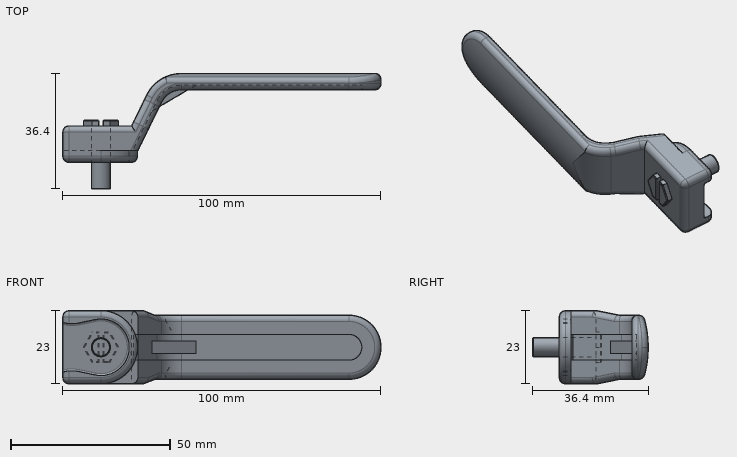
import cadquery as cq
import math


total_length = 100.0

hub_width = 23.0
hub_left = -12.0
hub_depth = 11.5
ledge_depth = 3.7
edge_radius = 2.0

recess_radius = 8.9
recess_depth = ledge_depth
recess_floor_radius = 0.6
neck_angle = 12.0
neck_x = -9.1
neck_half_width = 7.4
recess_overrun = 2.0

lever_width = 20.2
lever_thickness = 5.2
lever_back = 28.0
lever_front = lever_back - lever_thickness
tip_centre_x = total_length + hub_left - lever_width / 2
crown_radius = 33.0
side_edge_limit = 6.0
leg_angle = 64.0
bend_x = 25.3
bend_inner_radius = 7.0
bend_outer_radius = bend_inner_radius + lever_thickness
bend_y = lever_front - bend_inner_radius
narrow_station = 1.5
wide_station = 9.3

groove_width = 8.1
groove_depth = 1.5
gusset_width = 4.0
gusset_angle = 30.4
gusset_right = 29.9

shank_diameter = 6.0
shank_end = -8.4
head_sides = 6
head_flats = 9.6
head_height = 1.8
slot_width = 1.3
screw_chamfer = 0.3

leg_sin = math.sin(math.radians(leg_angle))
leg_cos = math.cos(math.radians(leg_angle))


def leg_point(station, depth):
    """Point on the leg: station runs down from the bend, depth runs in from the front face."""
    reach = bend_inner_radius + depth
    return (
        bend_x - reach * leg_sin - station * leg_cos,
        bend_y + reach * leg_cos - station * leg_sin,
    )


def leg_station(y, depth):
    """Station at which the leg reaches height y at the given depth below its front face."""
    return (leg_point(0, depth)[1] - y) / leg_sin


def bend_middle(radius):
    """Point halfway round the bend."""
    half_angle = math.radians(leg_angle / 2)
    return (bend_x - radius * math.sin(half_angle), bend_y + radius * math.cos(half_angle))


def crown_point(z):
    """(Y, Z) point on the crowned back of the lever."""
    return (lever_back - crown_radius + math.sqrt(crown_radius**2 - z**2), z)


def prism(outline, width):
    """Closed XY outline extruded symmetrically about Z = 0."""
    return outline.close().extrude(width / 2, both=True)


def front_prism(outline, depth):
    """Closed XZ outline extruded from Y = 0 towards +Y."""
    return outline.close().extrude(-depth)


def make_leg():
    """Straight leg whose sides taper from the hub width to the lever width."""
    front_foot = leg_station(ledge_depth, 0)
    back_foot = leg_station(ledge_depth, lever_thickness)
    leg = prism(
        cq.Workplane("XY").polyline(
            [
                leg_point(0, 0),
                leg_point(front_foot, 0),
                leg_point(back_foot, lever_thickness),
                leg_point(0, lever_thickness),
            ]
        ),
        hub_width,
    )
    origin = leg_point(0, 0)
    leg_plane = cq.Plane(
        origin=(origin[0], origin[1], 0),
        xDir=(-leg_cos, -leg_sin, 0),
        normal=(-leg_sin, leg_cos, 0),
    )
    narrow = lever_width / 2
    wide = hub_width / 2
    sides = (
        cq.Workplane(leg_plane)
        .polyline(
            [
                (0, -narrow),
                (narrow_station, -narrow),
                (wide_station, -wide),
                (back_foot, -wide),
                (back_foot, wide),
                (wide_station, wide),
                (narrow_station, narrow),
                (0, narrow),
            ]
        )
        .close()
        .extrude(lever_thickness)
    )
    return leg.intersect(sides)


def make_grip():
    """Bend and straight grip with a round tip."""
    tip_x = tip_centre_x + lever_width / 2
    grip = prism(
        cq.Workplane("XY")
        .moveTo(*leg_point(0, 0))
        .threePointArc(bend_middle(bend_inner_radius), (bend_x, lever_front))
        .lineTo(tip_x, lever_front)
        .lineTo(tip_x, lever_back)
        .lineTo(bend_x, lever_back)
        .threePointArc(bend_middle(bend_outer_radius), leg_point(0, lever_thickness)),
        lever_width,
    )
    half = lever_width / 2
    outline = front_prism(
        cq.Workplane("XZ")
        .moveTo(hub_left, -half)
        .lineTo(tip_centre_x, -half)
        .threePointArc((tip_x, 0), (tip_centre_x, half))
        .lineTo(hub_left, half),
        lever_back,
    )
    return grip.intersect(outline)


def is_side_edge(edge):
    """True for the edges along the +Z side of the lever and round that half of its tip."""
    on_foot = edge.BoundingBox().ymax < ledge_depth + edge_radius / 2
    through_thickness = False
    if edge.geomType() == "LINE" and edge.Center().x < bend_x:
        tangent = edge.tangentAt(0)
        across = abs(leg_cos * tangent.y - leg_sin * tangent.x)
        along = abs(leg_cos * tangent.x + leg_sin * tangent.y)
        through_thickness = across > along
    return edge.Center().z > side_edge_limit and not on_foot and not through_thickness


def make_lever():
    """Leg and grip with a crowned back and rounded sides, made as one half and mirrored."""
    half_width = hub_width / 2
    crowned_half = (
        cq.Workplane("YZ", origin=(hub_left, 0, 0))
        .lineTo(lever_back, 0)
        .threePointArc(crown_point(half_width / 2), crown_point(half_width))
        .lineTo(0, half_width)
        .close()
        .extrude(total_length)
    )
    half = make_leg().union(make_grip()).intersect(crowned_half)
    side_edges = [edge for edge in half.edges().vals() if is_side_edge(edge)]
    half = half.newObject(side_edges).fillet(edge_radius)
    return half.union(half.mirror("XY"))


def make_hub():
    """Box with a half-round front plate, rounded on its left, front and back edges."""
    half = hub_width / 2
    plate = front_prism(
        cq.Workplane("XZ")
        .moveTo(0, -half)
        .threePointArc((half, 0), (0, half))
        .lineTo(hub_left, half)
        .lineTo(hub_left, -half),
        ledge_depth,
    )
    inside_leg = lever_thickness / 2
    block = prism(
        cq.Workplane("XY").polyline(
            [
                (hub_left, ledge_depth),
                leg_point(leg_station(ledge_depth, inside_leg), inside_leg),
                leg_point(leg_station(hub_depth, inside_leg), inside_leg),
                (hub_left, hub_depth),
            ]
        ),
        hub_width,
    )
    hub = plate.union(block)
    rounded = hub.faces("<X or <Y").edges().add(hub.faces(">Y").edges("|X"))
    return rounded.fillet(edge_radius)


def make_recess():
    """Round recess with a necked mouth that opens through the left side of the hub."""
    slope_sin = math.sin(math.radians(neck_angle))
    slope_cos = math.cos(math.radians(neck_angle))
    flank_start = (-recess_radius * slope_sin, recess_radius * slope_cos)
    flank_at_neck = flank_start[1] - (flank_start[0] - neck_x) * slope_sin / slope_cos
    neck_radius = (neck_half_width - flank_at_neck) * slope_cos / (1 - slope_cos)
    neck_centre_z = neck_half_width + neck_radius
    flank_end = (neck_x + neck_radius * slope_sin, neck_centre_z - neck_radius * slope_cos)
    mouth_x = hub_left - recess_overrun
    mouth_z = neck_centre_z - math.sqrt(neck_radius**2 - (mouth_x - neck_x) ** 2)

    recess = front_prism(
        cq.Workplane("XZ")
        .moveTo(mouth_x, mouth_z)
        .threePointArc((neck_x, neck_half_width), flank_end)
        .lineTo(*flank_start)
        .threePointArc((recess_radius, 0), (flank_start[0], -flank_start[1]))
        .lineTo(flank_end[0], -flank_end[1])
        .threePointArc((neck_x, -neck_half_width), (mouth_x, -mouth_z)),
        recess_depth,
    )
    return recess.faces(">Y").edges("not |Z").fillet(recess_floor_radius)


def make_groove():
    """Round-ended groove of even depth that follows the front of the lever.

    Its lower end is square to the leg and meets the front face at the ledge.
    """
    foot = leg_station(ledge_depth, 0)
    tip_x = tip_centre_x + groove_width / 2
    groove_floor = lever_front + groove_depth
    floor_radius = bend_inner_radius + groove_depth
    band = prism(
        cq.Workplane("XY")
        .moveTo(*leg_point(foot, groove_depth))
        .lineTo(*leg_point(0, groove_depth))
        .threePointArc(bend_middle(floor_radius), (bend_x, groove_floor))
        .lineTo(tip_x, groove_floor)
        .lineTo(tip_x, lever_front)
        .lineTo(bend_x, lever_front)
        .threePointArc(bend_middle(bend_inner_radius), leg_point(0, 0))
        .lineTo(*leg_point(foot, 0)),
        groove_width,
    )
    half = groove_width / 2
    outline = front_prism(
        cq.Workplane("XZ")
        .moveTo(0, -half)
        .lineTo(tip_centre_x, -half)
        .threePointArc((tip_x, 0), (tip_centre_x, half))
        .lineTo(0, half),
        lever_back,
    )
    return band.intersect(outline)


def make_gusset():
    """Web across the inside of the bend, standing on the groove floor."""
    rise = math.tan(math.radians(gusset_angle))
    right = (gusset_right, lever_front + groove_depth)
    corner = leg_point(0, groove_depth)
    drop = right[1] - corner[1] - rise * (right[0] - corner[0])
    foot_station = -drop / (leg_sin - rise * leg_cos)
    floor_radius = bend_inner_radius + groove_depth
    return prism(
        cq.Workplane("XY")
        .moveTo(*right)
        .lineTo(bend_x, right[1])
        .threePointArc(bend_middle(floor_radius), corner)
        .lineTo(*leg_point(foot_station, groove_depth)),
        gusset_width,
    )


def make_handle():
    """Hub and cranked lever in one piece, with a hole for the screw."""
    screw_hole = cq.Workplane("XZ").circle(shank_diameter / 2).extrude(-hub_depth)
    body = make_hub().union(make_lever()).cut(make_groove()).union(make_gusset())
    return body.cut(make_recess()).cut(screw_hole)


def make_screw():
    """Slotted hexagon-head screw with its head against the back of the hub."""
    head_corners = head_flats / math.cos(math.pi / head_sides)
    head = (
        cq.Workplane("XZ", origin=(0, hub_depth, 0))
        .polygon(head_sides, head_corners)
        .extrude(-head_height)
    )
    slot = cq.Workplane("XY").box(slot_width, head_height, head_corners)
    head = head.cut(slot.translate((0, hub_depth + head_height / 2, 0)))
    head = head.faces(">Y").edges().chamfer(screw_chamfer)
    shank = (
        cq.Workplane("XZ", origin=(0, hub_depth, 0))
        .circle(shank_diameter / 2)
        .extrude(hub_depth - shank_end)
        .faces("<Y")
        .chamfer(screw_chamfer)
    )
    return shank.union(head)


handle = make_handle()
screw = make_screw()
result = cq.Compound.makeCompound([*handle.solids().vals(), *screw.solids().vals()])